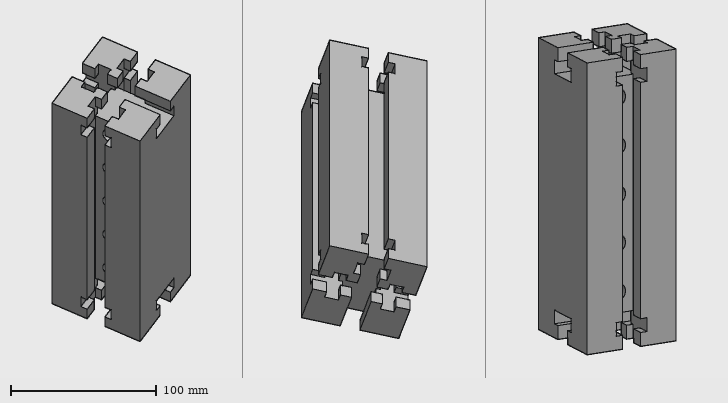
import cadquery as cq

length = 210.0
width = length / 3

mouth_width = 14.0
head_width = 24.0
lip_thickness = 10.0
slot_depth = 20.0

hole_diameter = 12.2
hole_count = 5
hole_pitch = width / 2


def t_slot(opening_direction, run_direction, face_distance):
    """T-slot cutter, open toward opening_direction and passing fully through along run_direction."""
    opening = cq.Vector(*opening_direction)
    run = cq.Vector(*run_direction)
    plane = cq.Plane(
        origin=opening * face_distance - run * (length / 2),
        xDir=opening.cross(run),
        normal=run,
    )
    head_height = slot_depth - lip_thickness
    mouth = (
        cq.Workplane(plane)
        .center(0, -slot_depth / 2)
        .rect(mouth_width, slot_depth)
        .extrude(length)
    )
    head = (
        cq.Workplane(plane)
        .center(0, -lip_thickness - head_height / 2)
        .rect(head_width, head_height)
        .extrude(length)
    )
    return mouth.union(head)


body = cq.Workplane("XY").box(width, width, length)

for side in [(0, -1, 0), (0, 1, 0), (-1, 0, 0)]:
    body = body.cut(t_slot(side, (0, 0, 1), width / 2))

for end in [(0, 0, 1), (0, 0, -1)]:
    for run_direction in [(1, 0, 0), (0, 1, 0)]:
        body = body.cut(t_slot(end, run_direction, length / 2))

holes = (
    cq.Workplane("XZ")
    .rarray(2, hole_pitch, 1, hole_count)
    .circle(hole_diameter / 2)
    .extrude(width / 2, both=True)
)

result = body.cut(holes)